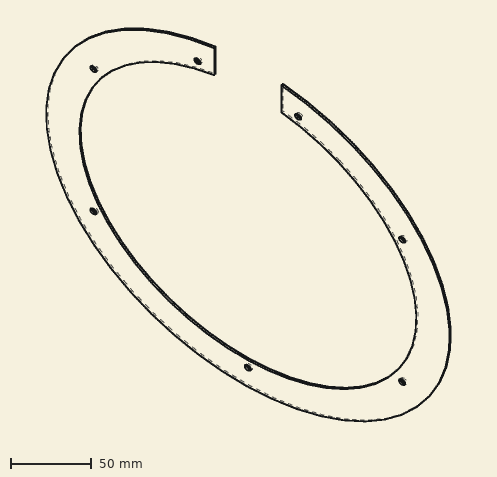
import cadquery as cq
import math

OUTER_DIAMETER = 307.975
INNER_DIAMETER = 257.175
THICKNESS = 1.6
GAP_WIDTH = 51.4
HOLE_DIAMETER = 4.76
BOLT_CIRCLE_DIAMETER = 272.0
END_HOLE_OFFSET = 12.7

RING_HOLE_ANGLES = (30, 150, 210, 270, 330)


def ring_plate():
    """Flat annular plate in the XZ plane, centred on Y = 0."""
    return (
        cq.Workplane("XZ")
        .circle(OUTER_DIAMETER / 2)
        .circle(INNER_DIAMETER / 2)
        .extrude(THICKNESS / 2, both=True)
    )


def top_gap():
    """Parallel-sided block that opens the ring at +Z."""
    height = OUTER_DIAMETER / 2
    return cq.Workplane("XY").box(GAP_WIDTH, 2 * THICKNESS, height, centered=(True, True, False))


def hole_centres():
    """Hole centres on the bolt circle, including one beside each gap edge."""
    radius = BOLT_CIRCLE_DIAMETER / 2
    centres = []
    for angle in RING_HOLE_ANGLES:
        turn = math.radians(angle)
        centres.append((radius * math.cos(turn), radius * math.sin(turn)))
    end_x = GAP_WIDTH / 2 + END_HOLE_OFFSET
    end_z = math.sqrt(radius**2 - end_x**2)
    centres.append((-end_x, end_z))
    centres.append((end_x, end_z))
    return centres


def through_holes():
    """Cylinders that pass through the plate along Y."""
    return (
        cq.Workplane("XZ")
        .pushPoints(hole_centres())
        .circle(HOLE_DIAMETER / 2)
        .extrude(THICKNESS, both=True)
    )


result = ring_plate().cut(top_gap()).cut(through_holes())